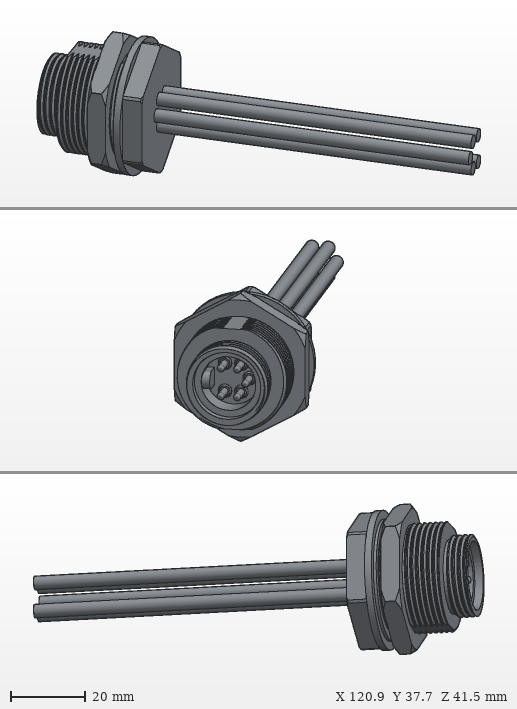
import cadquery as cq
import math

NECK_START = 5.6
BODY_START = 6.6
NUT_START = 16.8
NUT_END = 22.0
GASKET_START = 23.6
FLANGE_START = 24.4
HEX_START = 26.3
HEX_END = 31.8
WIRE_END = 120.9

COUPLING_RADIUS = 11.11
COUPLING_PITCH = 1.5875
COUPLING_THREAD_ANGLE = 210
NECK_RADIUS = 10.1
NECK_OVERLAP = 1.0

BODY_RADIUS = 15.0
BODY_PITCH = 1.5
BODY_THREAD_ANGLE = 290
BODY_ACROSS_FLATS = 28.1

THREAD_DEPTH_RATIO = 0.5
THREAD_MOUTH_RATIO = 0.8
THREAD_ROOT_RATIO = 0.15
THREAD_CLEARANCE_RATIO = 0.05

NUT_ACROSS_FLATS = 36.0
NUT_CORNER_RADIUS = 20.75
NUT_BORE_RADIUS = 14.65
NUT_FACE_RADIUS = 19.2
NUT_CHAMFER_LENGTH = 1.2

GASKET_RADIUS = 16.5
FLANGE_RADIUS = 18.85
HEX_ACROSS_FLATS = 33.0
HEX_CORNER_RADIUS = 18.8
HEX_CORNER_CHAMFER = 0.4

SOCKET_RADIUS = 9.35
SOCKET_DEPTH = 2.3
INSERT_RADIUS = 7.5
INSERT_DEPTH = 8.5
KEY_WIDTH = 4.9
KEY_INNER_Y = 5.2
KEY_START = 2.5
KEY_NOSE_LENGTH = 2.1
CONTACT_CIRCLE_RADIUS = 4.5
CONTACT_ANGLES = (60, 120, 180, 240, 300)
PIN_RADIUS = 1.0
PIN_START = 2.3
PIN_TIP_FILLET = 0.8
WIRE_RADIUS = 1.85
COLLAR_HEIGHT = 0.5
COLLAR_CHAMFER = 0.4


def rod(radius, start, end, y=0.0, z=0.0):
    """Cylinder parallel to X between two axial stations."""
    return cq.Workplane("YZ", origin=(start, y, z)).circle(radius).extrude(end - start)


def hexagon(across_flats, start, end):
    """Hexagonal prism along X with two corners on the Z axis."""
    across_corners = across_flats / math.cos(math.pi / 6)
    prism = cq.Workplane("YZ", origin=(start, 0, 0)).polygon(6, across_corners).extrude(end - start)
    return prism.rotate((0, 0, 0), (1, 0, 0), 30)


def revolve_profile(points):
    """Solid of revolution about X from (x, radius) points."""
    return cq.Workplane("XY").polyline(points).close().revolve(360, (0, 0, 0), (1, 0, 0))


def thread_groove(radius, pitch, start, end):
    """Helical groove that cuts a thread into a rod, running one pitch past both ends."""
    depth = THREAD_DEPTH_RATIO * pitch
    half_mouth = THREAD_MOUTH_RATIO * pitch / 2
    half_root = THREAD_ROOT_RATIO * pitch / 2
    flank_slope = (half_mouth - half_root) / depth
    clearance = THREAD_CLEARANCE_RATIO * pitch
    half_outer = half_mouth + flank_slope * clearance
    length = end - start + 2 * pitch
    section = [
        (radius + clearance, -half_outer),
        (radius - depth, -half_root),
        (radius - depth, half_root),
        (radius + clearance, half_outer),
    ]
    edges = [cq.Wire.makeHelix(pitch, length, r, center=cq.Vector(0, 0, offset)) for r, offset in section]
    faces = []
    for edge, next_edge in zip(edges, edges[1:] + edges[:1]):
        faces.extend(cq.Face.makeRuledSurface(edge, next_edge).Faces())
    for end_parameter in (0, 1):
        corners = [edge.positionAt(end_parameter) for edge in edges]
        faces.append(cq.Face.makeFromWires(cq.Wire.makePolygon(corners, close=True)))
    groove = cq.Workplane(cq.Solid.makeSolid(cq.Shell.makeShell(faces)))
    return groove.rotate((0, 0, 0), (0, 1, 0), 90).translate((start - pitch, 0, 0))


def threaded_rod(radius, pitch, start, end, thread_angle):
    """Threaded rod along X, turned about X as a whole to set where its thread starts."""
    threaded = rod(radius, start, end).cut(thread_groove(radius, pitch, start, end))
    return threaded.rotate((0, 0, 0), (1, 0, 0), thread_angle)


def coupling_end():
    coupling = threaded_rod(COUPLING_RADIUS, COUPLING_PITCH, 0, NECK_START, COUPLING_THREAD_ANGLE)
    return coupling.union(rod(NECK_RADIUS, NECK_START - NECK_OVERLAP, BODY_START))


def panel_body():
    body = threaded_rod(BODY_RADIUS, BODY_PITCH, BODY_START, GASKET_START, BODY_THREAD_ANGLE)
    block = cq.Workplane("XY").box(HEX_START, 2 * FLANGE_RADIUS, FLANGE_RADIUS, centered=(False, True, False))
    block = block.translate((0, 0, BODY_ACROSS_FLATS / 2))
    for angle in (0, 180):
        body = body.cut(block.rotate((0, 0, 0), (1, 0, 0), angle))
    return body


def lock_nut():
    envelope = revolve_profile([
        (NUT_START, 0),
        (NUT_START, NUT_FACE_RADIUS),
        (NUT_START + NUT_CHAMFER_LENGTH, NUT_CORNER_RADIUS),
        (NUT_END - NUT_CHAMFER_LENGTH, NUT_CORNER_RADIUS),
        (NUT_END, NUT_FACE_RADIUS),
        (NUT_END, 0),
    ])
    nut = hexagon(NUT_ACROSS_FLATS, NUT_START, NUT_END).intersect(envelope)
    return nut.cut(rod(NUT_BORE_RADIUS, NUT_START, NUT_END))


def rear_hexagon():
    envelope = rod(HEX_CORNER_RADIUS, HEX_START, HEX_END).faces(">X").chamfer(HEX_CORNER_CHAMFER)
    return hexagon(HEX_ACROSS_FLATS, HEX_START, HEX_END).intersect(envelope)


def key():
    """Rib on the +Y wall of the insert bore with a rounded front end."""
    half_width = KEY_WIDTH / 2
    nose_x = KEY_START + KEY_NOSE_LENGTH
    height = INSERT_RADIUS - KEY_INNER_Y
    rib = (
        cq.Workplane("XZ", origin=(0, INSERT_RADIUS, 0))
        .moveTo(INSERT_DEPTH, -half_width)
        .lineTo(nose_x, -half_width)
        .threePointArc((KEY_START, 0), (nose_x, half_width))
        .lineTo(INSERT_DEPTH, half_width)
        .close()
        .extrude(height)
    )
    return rib


def contact(angle):
    """Pin with its collar in the insert, and the wire leaving the rear face."""
    y = CONTACT_CIRCLE_RADIUS * math.cos(math.radians(angle))
    z = CONTACT_CIRCLE_RADIUS * math.sin(math.radians(angle))
    pin = rod(PIN_RADIUS, PIN_START, INSERT_DEPTH, y, z).faces("<X").edges().fillet(PIN_TIP_FILLET)
    wire = rod(WIRE_RADIUS, INSERT_DEPTH - COLLAR_HEIGHT, WIRE_END, y, z).faces("<X").chamfer(COLLAR_CHAMFER)
    return wire.union(pin)


result = coupling_end().union(panel_body())
result = result.union(rod(GASKET_RADIUS, GASKET_START, FLANGE_START))
result = result.union(rod(FLANGE_RADIUS, FLANGE_START, HEX_START))
result = result.union(rear_hexagon()).union(lock_nut())
result = result.cut(rod(SOCKET_RADIUS, 0, SOCKET_DEPTH))
result = result.cut(rod(INSERT_RADIUS, 0, INSERT_DEPTH))
result = result.union(key())
for contact_angle in CONTACT_ANGLES:
    result = result.union(contact(contact_angle))